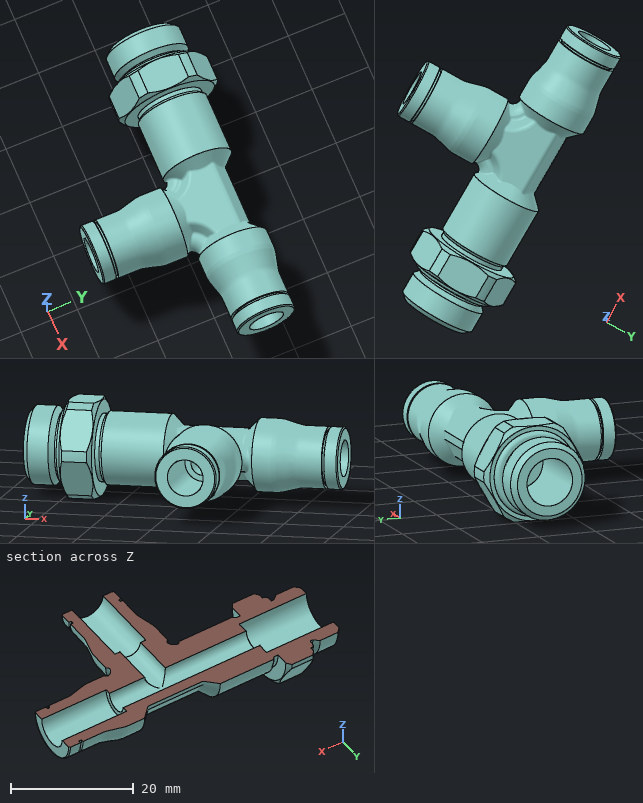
import cadquery as cq
import math


run_length = 52.5
male_length = 31.0
run_socket_length = run_length - male_length
branch_socket_length = 21.95

shoulder_distance = 7.4
shoulder_radius = 6.1
shoulder_fillet = 0.4
shoulder_core_radius = 3.7
body_half_height = 4.05
back_flat_width = 1.6
side_angle = math.radians(60)
side_round = 0.95

corner_offset = 7.05
web_flat_radius = corner_offset - back_flat_width
web_half_height = 2.1
web_tip_radius = 1.35
web_tip_start = 3.05
web_root_round = 0.7

thread_radius = 6.55
thread_face_radius = 5.65
thread_chamfer_length = 0.85
thread_end = 4.35
undercut_start = 5.25
undercut_radius = 5.8
collar_start = 5.7
collar_radius = 7.2
hex_start = 6.5
collar_round = hex_start - collar_start
hex_end = 11.95
hex_sides = 6
hex_width = 16.0
hex_corner_radius = 8.75
hex_face_radius = 7.95
hex_chamfer_length = 0.65
neck_end = 12.7
neck_radius = 5.6
barrel_start = 13.2

socket_radius = 5.15
taper_start = 10.55
taper_end = 6.95
taper_blend = 0.4
cap_length = 2.25
groove_width = 0.4
groove_radius = 4.65
cap_chamfer = 0.2

passage_radius = 2.0
tube_radius = 3.0
tube_depth = 12.6
male_bore_radius = 4.0
male_bore_depth = 13.1

shoulder_drop = shoulder_radius - shoulder_core_radius
core_distance = shoulder_distance - shoulder_drop


def turned(profile):
    """Turn a closed profile about the X axis."""
    return profile.close().revolve(360, (0, 0, 0), (1, 0, 0))


def cylinder_x(radius, start, end):
    """Cylinder on the X axis between two positions."""
    return cq.Workplane("YZ").workplane(offset=start).circle(radius).extrude(end - start)


def socket_arm(length):
    """Push-in socket along +X with its open end at the given distance."""
    wide_x = length - taper_start
    narrow_x = length - taper_end
    taper_angle = math.atan2(shoulder_radius - socket_radius, narrow_x - wide_x)
    blend_x = taper_blend * math.cos(taper_angle)
    blend_r = taper_blend * math.sin(taper_angle)
    groove_end = length - cap_length
    groove_start = groove_end - groove_width
    profile = (
        cq.Workplane("XY")
        .moveTo(core_distance, 0)
        .lineTo(core_distance, shoulder_core_radius)
        .lineTo(shoulder_distance, shoulder_radius)
        .lineTo(wide_x - taper_blend, shoulder_radius)
        .tangentArcPoint((wide_x + blend_x, shoulder_radius - blend_r), relative=False)
        .lineTo(narrow_x - blend_x, socket_radius + blend_r)
        .tangentArcPoint((narrow_x + taper_blend, socket_radius), relative=False)
        .lineTo(groove_start, socket_radius)
        .lineTo(groove_start, groove_radius)
        .lineTo(groove_end, groove_radius)
        .lineTo(groove_end, socket_radius)
        .lineTo(length - cap_chamfer, socket_radius)
        .lineTo(length, socket_radius - cap_chamfer)
        .lineTo(length, 0)
    )
    return turned(profile)


def socket_bore(length):
    """Tube seat and through passage of a socket along +X."""
    return cylinder_x(passage_radius, 0, length).union(cylinder_x(tube_radius, length - tube_depth, length))


def as_branch(run_shape):
    """Swing a shape from the +X direction to the -Y direction."""
    return run_shape.rotate((0, 0, 0), (0, 0, 1), -90)


def male_arm():
    """Threaded spigot, collar, neck and barrel along -X."""
    face = -male_length
    profile = (
        cq.Workplane("XY")
        .moveTo(face, 0)
        .lineTo(face, thread_face_radius)
        .lineTo(face + thread_chamfer_length, thread_radius)
        .lineTo(face + thread_end, thread_radius)
        .lineTo(face + undercut_start, undercut_radius)
        .lineTo(face + collar_start, undercut_radius)
        .lineTo(face + collar_start, collar_radius - collar_round)
        .radiusArc((face + hex_start, collar_radius), collar_round)
        .lineTo(face + hex_start, neck_radius)
        .lineTo(face + neck_end, neck_radius)
        .lineTo(face + barrel_start, shoulder_radius)
        .lineTo(-shoulder_distance, shoulder_radius)
        .lineTo(-core_distance, shoulder_core_radius)
        .lineTo(-core_distance, 0)
    )
    return turned(profile)


def hexagon():
    """Hexagon with flats on top and bottom, its corners turned down and chamfered."""
    start = hex_start - male_length
    end = hex_end - male_length
    across_corners = hex_width / math.cos(math.pi / hex_sides)
    prism = cq.Workplane("YZ").workplane(offset=start).polygon(hex_sides, across_corners).extrude(end - start)
    envelope = turned(
        cq.Workplane("XY")
        .moveTo(start, 0)
        .lineTo(start, hex_face_radius)
        .lineTo(start + hex_chamfer_length, hex_corner_radius)
        .lineTo(end - hex_chamfer_length, hex_corner_radius)
        .lineTo(end, hex_face_radius)
        .lineTo(end, 0)
    )
    return prism.intersect(envelope)


round_run = side_round * math.sin(side_angle)
round_drop = side_round * (1 - math.cos(side_angle))
side_top = body_half_height - round_drop


def flat_core():
    """Middle of the body: flat top and bottom, with a concave arc at each inner corner."""
    mid_arc = corner_offset - web_flat_radius * math.sqrt(0.5)
    return (
        cq.Workplane("XY")
        .workplane(offset=-body_half_height)
        .moveTo(-corner_offset, back_flat_width)
        .lineTo(-corner_offset, -back_flat_width)
        .threePointArc((-mid_arc, -mid_arc), (-back_flat_width, -corner_offset))
        .lineTo(back_flat_width, -corner_offset)
        .threePointArc((mid_arc, -mid_arc), (corner_offset, -back_flat_width))
        .lineTo(corner_offset, back_flat_width)
        .close()
        .extrude(2 * body_half_height)
    )


def sloped_back():
    """Rear strip of the body, sloping down from the flat top and up from the flat bottom."""
    slope_start = back_flat_width + round_run
    back_height = side_top - (body_half_height - slope_start) * math.tan(side_angle)
    return (
        cq.Workplane("YZ")
        .workplane(offset=-corner_offset)
        .moveTo(back_flat_width, -body_half_height)
        .lineTo(back_flat_width, body_half_height)
        .radiusArc((slope_start, side_top), side_round)
        .lineTo(body_half_height, back_height)
        .lineTo(body_half_height, -back_height)
        .lineTo(slope_start, -side_top)
        .radiusArc((back_flat_width, -body_half_height), side_round)
        .close()
        .extrude(2 * corner_offset)
    )


def corner_web():
    """Quarter-turn web in the -X inner corner: sloped side, concave root and fully rounded tip."""
    slope_start = web_flat_radius - round_run
    slope_foot = slope_start - (side_top - web_half_height) / math.tan(side_angle)
    root_length = web_root_round * math.tan(side_angle / 2)
    root_x = slope_foot + root_length * math.cos(side_angle)
    root_z = web_half_height + root_length * math.sin(side_angle)
    root_end = slope_foot - root_length
    profile = (
        cq.Workplane("XZ")
        .moveTo(web_flat_radius, -body_half_height)
        .lineTo(web_flat_radius, body_half_height)
        .radiusArc((slope_start, side_top), -side_round)
        .lineTo(root_x, root_z)
        .radiusArc((root_end, web_half_height), web_root_round)
        .lineTo(web_tip_start, web_half_height)
        .threePointArc((web_tip_radius, 0), (web_tip_start, -web_half_height))
        .lineTo(root_end, -web_half_height)
        .radiusArc((root_x, -root_z), web_root_round)
        .lineTo(slope_start, -side_top)
        .radiusArc((web_flat_radius, -body_half_height), -side_round)
        .close()
    )
    return profile.revolve(90, (0, 0, 0), (0, 1, 0)).translate((-corner_offset, -corner_offset, 0))


def central_body():
    """Flat-topped tee body with a sloped back and a curved web in each inner corner."""
    web = corner_web()
    return flat_core().union(sloped_back()).union(web).union(web.mirror("YZ"))


male_bore = cylinder_x(passage_radius, -male_length, 0).union(
    cylinder_x(male_bore_radius, -male_length, male_bore_depth - male_length)
)

shell = (
    central_body()
    .union(male_arm())
    .union(socket_arm(run_socket_length))
    .union(as_branch(socket_arm(branch_socket_length)))
    .edges("%HYPERBOLA or %BSPLINE")
    .fillet(shoulder_fillet)
)

result = (
    shell
    .union(hexagon())
    .cut(male_bore)
    .cut(socket_bore(run_socket_length))
    .cut(as_branch(socket_bore(branch_socket_length)))
)